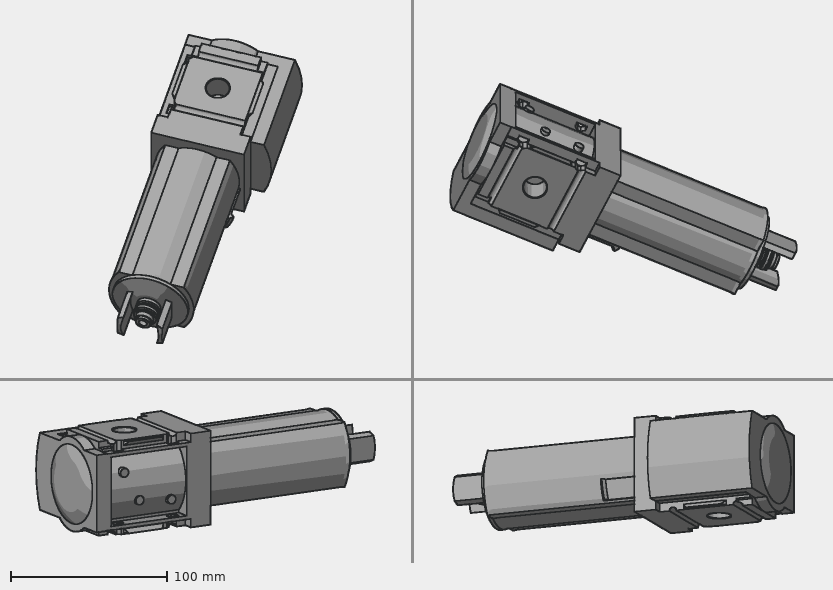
import cadquery as cq
import math


block_half = 31.0
front_wall = 14.7
core_half_width = 24.2
core_end = 77.0
rear_face = 85.0
shell_half_height = 25.5
ledge_drop = 0.2
cover_edge = 40.0
cover_crown = 44.8

groove_diameter = 4.6
groove_centres = (23.7, 68.0)
centre_tab_half_width = 19.8
shelf_height = 27.0
shelf_start = 67.7

port_y = 46.0
port_diameter = 15.0
port_mouth_diameter = 15.8
port_depth = 17.5

wing_reach = 2.6
wing_top = 30.3
wing_root = 27.5
wing_half_length = 14.7
wing_tip_half_length = 12.3

pocket_centres = (25.3, 66.2)
pocket_half_length = 3.5
pocket_tip_half_length = 1.0
pocket_outer = -27.3
pocket_tip = -22.5

window_start = 17.8
window_end = 74.0
window_half_height = 22.9
drum_radius = 29.7
drum_half_height = 20.9
pin_diameter = 6.0
pin_end = -30.0
pin_places = ((63.5, 11.0), (52.0, -8.5), (28.4, -11.0))

boss_half_width = 15.4
dome_radius = 26.0
dome_flat_radius = 17.8
dome_height = 2.6
dome_shoulder_rise = 1.8

bowl_half_width = 28.0
bowl_corner_x = 21.5
bowl_flat_half = 21.0
bowl_barrel_radius = 24.6
bowl_end = -105.3
lip_length = 2.6
lip_flare = 0.5

cap_radius = 50.3 / 2
cap_rim_length = 2.6
cap_flat_radius = 10.5
cap_cone_length = 2.5

tab_outer = 15.0
tab_inner = 11.0
tab_hollow = 1.5
tab_half_height = 10.0
tab_bevel_half_height = 8.0
tab_end = -132.1
tab_tip_length = 1.8

drain_radius = 15.8 / 2
drain_neck_radius = 11.7 / 2
drain_disc_radius = 15.0 / 2
drain_spout_radius = 11.0 / 2
drain_tip_radius = 4.8
first_collar_end = -112.8
second_collar_start = -114.5
second_collar_end = -118.0
collar_vee_y = -115.2
collar_vee_flank = 0.7
disc_start = -119.4
disc_end = -119.8
spout_start = -121.3
spout_end = -122.7
drain_end = -124.6
drain_bore_diameter = 5.5
drain_bore_depth = 6.5

slide_low = -19.5
slide_high = -7.0
slide_thickness = 1.3
slide_length = 20.9
nub_height = 3.5
nub_length = 3.5


def box(x0, x1, y0, y1, z0, z1):
    return cq.Workplane("XY").box(x1 - x0, y1 - y0, z1 - z0, centered=False).translate((x0, y0, z0))


def along_y(y):
    """Workplane across the bowl axis at y, local x = X, local y = Z, extruding towards -Y."""
    return cq.Workplane("XZ", origin=(0, y, 0))


def on_both_faces(upper):
    """A shape on the top face together with its mirror image on the bottom face."""
    return upper.union(upper.mirror("XY"))


def shell():
    """Rear plate, window frame and curved side cover, with shallow ledges beside the centre."""
    h = shell_half_height
    body = (
        along_y(rear_face)
        .moveTo(-block_half, -h)
        .lineTo(cover_edge, -h)
        .threePointArc((cover_crown, 0), (cover_edge, h))
        .lineTo(-block_half, h)
        .close()
        .extrude(rear_face - front_wall)
    )
    ledge = box(-block_half, block_half, front_wall, core_end, h - ledge_drop, h)
    return body.cut(on_both_faces(ledge))


def raised_centre():
    """Square centre between the ports, with cross grooves and two low corner shelves."""
    c = core_half_width
    core = box(-c, c, front_wall, core_end, -block_half, block_half)
    for y in groove_centres:
        groove = (
            cq.Workplane("YZ", origin=(-c, 0, 0))
            .center(y, block_half)
            .circle(groove_diameter / 2)
            .extrude(2 * c)
        )
        core = core.cut(on_both_faces(groove))
    for x0, x1 in ((-c, -centre_tab_half_width), (centre_tab_half_width, c)):
        corner = box(x0, x1, shelf_start, core_end, shelf_height, block_half)
        core = core.cut(on_both_faces(corner))
    return core


def wings():
    """Undercut wings with slanted ends on both flanks of the centre."""
    c = core_half_width
    tip = c + wing_reach
    plan = (
        cq.Workplane("XY")
        .polyline([
            (c, port_y - wing_half_length),
            (tip, port_y - wing_tip_half_length),
            (tip, port_y + wing_tip_half_length),
            (c, port_y + wing_half_length),
        ])
        .close()
        .extrude(block_half)
    )
    section = (
        along_y(port_y + wing_half_length)
        .polyline([(c, wing_root), (tip, wing_top), (c, wing_top)])
        .close()
        .extrude(2 * wing_half_length)
    )
    wing = plan.intersect(section)
    return on_both_faces(wing.union(wing.mirror("YZ")))


def clip_pockets():
    """Pointed pockets through the window frame that notch the flank of the centre."""
    pockets = cq.Workplane("XY")
    for y in pocket_centres:
        pocket = (
            cq.Workplane("XY", origin=(0, y, window_half_height))
            .polyline([
                (pocket_outer, -pocket_half_length),
                (-core_half_width, -pocket_half_length),
                (pocket_tip, -pocket_tip_half_length),
                (pocket_tip, pocket_tip_half_length),
                (-core_half_width, pocket_half_length),
                (pocket_outer, pocket_half_length),
            ])
            .close()
            .extrude(block_half - window_half_height)
        )
        pockets = pockets.union(on_both_faces(pocket))
    return pockets


def ports():
    """Blind port in the top and bottom faces, with a chamfered mouth."""
    mouth = (port_mouth_diameter - port_diameter) / 2
    bore = (
        cq.Workplane("XY", origin=(0, port_y, block_half - port_depth))
        .circle(port_diameter / 2)
        .extrude(port_depth)
    )
    chamfer = (
        cq.Workplane("XY", origin=(0, port_y, block_half))
        .circle(port_mouth_diameter / 2)
        .workplane(offset=-mouth)
        .circle(port_diameter / 2)
        .loft()
    )
    return on_both_faces(bore.union(chamfer))


def window():
    """Opening in the -X side down to a narrow step along the drum, leaving the drum's pins standing."""
    depth_x = -math.sqrt(drum_radius**2 - drum_half_height**2)
    h = window_half_height
    opening = box(-block_half, depth_x, window_start, window_end, -h, h)
    drum = along_y(window_end).circle(drum_radius).extrude(window_end - window_start)
    opening = opening.cut(drum)
    for y, z in pin_places:
        pin = (
            cq.Workplane("YZ", origin=(pin_end, 0, 0))
            .center(y, z)
            .circle(pin_diameter / 2)
            .extrude(-pin_end)
        )
        opening = opening.cut(pin)
    return opening


def rear_boss():
    """Two rounded humps on the rear plate and the domed cap behind it."""
    hump = (
        along_y(rear_face)
        .moveTo(-boss_half_width, shell_half_height)
        .threePointArc((0, block_half), (boss_half_width, shell_half_height))
        .close()
        .extrude(rear_face - core_end)
    )
    shoulder = (dome_radius + dome_flat_radius) / 2
    dome = (
        cq.Workplane("XY")
        .moveTo(0, rear_face)
        .lineTo(dome_radius, rear_face)
        .threePointArc(
            (shoulder, rear_face + dome_shoulder_rise),
            (dome_flat_radius, rear_face + dome_height),
        )
        .lineTo(0, rear_face + dome_height)
        .close()
        .revolve(360, (0, 0, 0), (0, 1, 0))
    )
    return on_both_faces(hump).union(dome)


def make_housing():
    b = block_half
    body = box(-b, b, 0, front_wall, -b, b)
    body = body.union(shell()).union(raised_centre()).union(wings()).union(rear_boss())
    return body.cut(window()).cut(clip_pockets()).cut(ports())


def bowl_section(start, length, taper=0.0):
    """Bowl outline (barrel plus arc-sided flats) extruded from start towards -Y."""
    flats = (
        along_y(start)
        .moveTo(-bowl_corner_x, -bowl_flat_half)
        .lineTo(bowl_corner_x, -bowl_flat_half)
        .threePointArc((bowl_half_width, 0), (bowl_corner_x, bowl_flat_half))
        .lineTo(-bowl_corner_x, bowl_flat_half)
        .threePointArc((-bowl_half_width, 0), (-bowl_corner_x, -bowl_flat_half))
        .close()
        .extrude(length, taper=taper)
    )
    barrel = along_y(start).circle(bowl_barrel_radius).extrude(length, taper=taper)
    return flats.union(barrel)


def end_cap():
    """Round rim with a shallow cone."""
    rim_end = bowl_end - cap_rim_length
    return (
        cq.Workplane("XY")
        .polyline([
            (0, bowl_end),
            (cap_radius, bowl_end),
            (cap_radius, rim_end),
            (cap_flat_radius, rim_end - cap_cone_length),
            (0, rim_end - cap_cone_length),
        ])
        .close()
        .revolve(360, (0, 0, 0), (0, 1, 0))
    )


def grip_tabs():
    """Two flat tabs, hollowed on the inside, with bevelled edges and rounded tips."""
    section = (
        along_y(bowl_end)
        .moveTo(tab_inner, -tab_half_height)
        .lineTo(tab_outer, -tab_bevel_half_height)
        .lineTo(tab_outer, tab_bevel_half_height)
        .lineTo(tab_inner, tab_half_height)
        .threePointArc((tab_inner + tab_hollow, 0), (tab_inner, -tab_half_height))
        .close()
        .extrude(bowl_end - tab_end)
    )
    outline = (
        cq.Workplane("YZ")
        .moveTo(bowl_end, -tab_half_height)
        .lineTo(tab_end + tab_tip_length, -tab_half_height)
        .threePointArc((tab_end, 0), (tab_end + tab_tip_length, tab_half_height))
        .lineTo(bowl_end, tab_half_height)
        .close()
        .extrude(tab_outer)
    )
    tab = section.intersect(outline)
    return tab.union(tab.mirror("YZ"))


def drain():
    """Turned drain fitting with collars, a tapered spout and a blind bore."""
    fitting = (
        cq.Workplane("XY")
        .polyline([
            (0, bowl_end),
            (drain_radius, bowl_end),
            (drain_radius, first_collar_end),
            (drain_neck_radius, first_collar_end),
            (drain_neck_radius, second_collar_start),
            (drain_radius, second_collar_start),
            (drain_disc_radius, collar_vee_y),
            (drain_radius, collar_vee_y - collar_vee_flank),
            (drain_radius, second_collar_end),
            (drain_neck_radius, second_collar_end),
            (drain_neck_radius, disc_start),
            (drain_disc_radius, disc_start),
            (drain_disc_radius, disc_end),
            (drain_neck_radius, disc_end),
            (drain_spout_radius, spout_start),
            (drain_spout_radius, spout_end),
            (drain_tip_radius, spout_end),
            (drain_tip_radius, drain_end),
            (0, drain_end),
        ])
        .close()
        .revolve(360, (0, 0, 0), (0, 1, 0))
    )
    bore = along_y(drain_end + drain_bore_depth).circle(drain_bore_diameter / 2).extrude(drain_bore_depth)
    return fitting.cut(bore)


def release_slide():
    """Thin slide that follows the +X side arc and ends in a pointed nub."""
    sagitta = bowl_half_width - bowl_corner_x
    arc_radius = (bowl_flat_half**2 + sagitta**2) / (2 * sagitta)
    arc_centre = bowl_half_width - arc_radius
    inner = bowl_half_width - slide_thickness
    outer = bowl_half_width + slide_thickness
    nub_middle = -slide_length - nub_length / 2
    ring = (
        cq.Workplane("XY")
        .polyline([
            (inner, 0),
            (outer, 0),
            (outer, -slide_length),
            (bowl_half_width + nub_height, nub_middle),
            (outer, -slide_length - nub_length),
            (inner, -slide_length - nub_length),
        ])
        .close()
        .revolve(360, (arc_centre, 0, 0), (arc_centre, 1, 0))
    )
    reach = bowl_half_width + nub_height
    return ring.intersect(box(0, reach, -slide_length - nub_length, 0, slide_low, slide_high))


def make_bowl():
    lip_start = bowl_end + lip_length
    flare_angle = math.degrees(math.atan(lip_flare / lip_length))
    body = bowl_section(0, -lip_start)
    body = body.union(bowl_section(lip_start, lip_length, taper=-flare_angle))
    return body.union(end_cap()).union(grip_tabs()).union(drain()).union(release_slide())


housing = make_housing()
bowl = make_bowl()

result = cq.Compound.makeCompound([housing.val(), bowl.val()])